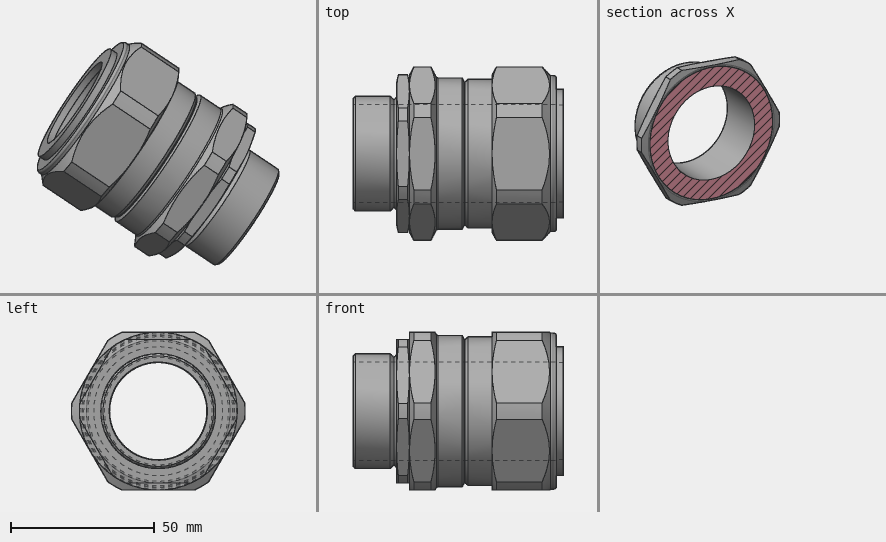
import cadquery as cq
import math


thread_radius = 20.0
thread_end = 12.9
entry_chamfer = 0.8
undercut_radius = 18.7
undercut_x = 14.2
undercut_rim_radius = 19.75

thin_hex_start = 15.1
thin_hex_end = 19.5
thin_hex_apothem = 25.0
large_hex_apothem = 27.5
large_corner_radius = 60.45 / 2
thin_corner_radius = large_hex_apothem
thin_hex_bevel = 0.6
middle_hex_start = 19.6
middle_hex_flat_end = 27.05
middle_hex_end = 28.95
nut_start = 48.3
nut_flat_end = 65.7
nut_end = 68.6
hex_front_bevel = 1.5

shoulder_radius = 26.6
front_body_start = 29.5
front_body_radius = 26.4
front_body_end = 37.95
joint_start = 38.6
joint_end = 38.95
joint_radius = 25.0
rear_body_start = 40.0
rear_body_radius = 25.95

rim_radius = 27.2
rim_end = 70.7
rim_rounding_start = 69.6
rim_face_radius = 26.5
seal_radius = 22.45
length = 73.1

bore_radius = 17.1
seal_bore_radius = 16.9


def revolve_profile(points):
    """Revolve an (x, radius) outline about the X axis."""
    return cq.Workplane("XY").polyline(points).close().revolve(360, (0, 0, 0), (1, 0, 0))


def turned_hexagon(apothem, outline):
    """Hexagonal prism along X, flats facing +Z and -Z, trimmed to a turned (x, radius) outline."""
    start = outline[0][0]
    end = outline[-1][0]
    across_corners = 2 * apothem / math.cos(math.pi / 6)
    prism = cq.Workplane("YZ").workplane(offset=start).polygon(6, across_corners).extrude(end - start)
    return prism.intersect(revolve_profile([(start, 0), *outline, (end, 0)]))


def core():
    """All round sections from the thread to the seal ring, except the rim of the nut."""
    return revolve_profile([
        (0, 0),
        (0, thread_radius - entry_chamfer),
        (entry_chamfer, thread_radius),
        (thread_end, thread_radius),
        (undercut_x, undercut_radius),
        (thin_hex_start, undercut_rim_radius),
        (thin_hex_start, thin_hex_apothem - thin_hex_bevel),
        (middle_hex_end, thin_hex_apothem - thin_hex_bevel),
        (middle_hex_end, shoulder_radius),
        (front_body_start, front_body_radius),
        (front_body_end, front_body_radius),
        (joint_start, joint_radius),
        (joint_end, joint_radius),
        (rear_body_start, rear_body_radius),
        (nut_end, rear_body_radius),
        (nut_end, seal_radius),
        (length, seal_radius),
        (length, 0),
    ])


def nut_rim():
    """Round disc closing the rear of the nut; an arc rounds its edge down to the flat rear face."""
    profile = (
        cq.Workplane("XY")
        .moveTo(nut_end, 0)
        .lineTo(nut_end, rim_radius)
        .lineTo(rim_rounding_start, rim_radius)
        .tangentArcPoint((rim_end, rim_face_radius), relative=False)
        .lineTo(rim_end, 0)
        .close()
    )
    return profile.revolve(360, (0, 0, 0), (1, 0, 0))


def thin_hex():
    return turned_hexagon(thin_hex_apothem, [
        (thin_hex_start, thin_hex_apothem),
        (thin_hex_start + thin_hex_bevel, thin_corner_radius),
        (thin_hex_end - thin_hex_bevel, thin_corner_radius),
        (thin_hex_end, thin_hex_apothem),
    ])


def middle_hex():
    return turned_hexagon(large_hex_apothem, [
        (middle_hex_start, large_hex_apothem),
        (middle_hex_start + hex_front_bevel, large_corner_radius),
        (middle_hex_flat_end, large_corner_radius),
        (middle_hex_end, shoulder_radius),
    ])


def nut_hex():
    return turned_hexagon(large_hex_apothem, [
        (nut_start, large_hex_apothem),
        (nut_start + hex_front_bevel, large_corner_radius),
        (nut_flat_end, large_corner_radius),
        (nut_end, rim_radius),
    ])


def bore():
    return revolve_profile([
        (0, 0),
        (0, bore_radius),
        (rim_end, bore_radius),
        (rim_end, seal_bore_radius),
        (length, seal_bore_radius),
        (length, 0),
    ])


result = (
    core()
    .union(thin_hex())
    .union(middle_hex())
    .union(nut_hex())
    .union(nut_rim())
    .cut(bore())
)